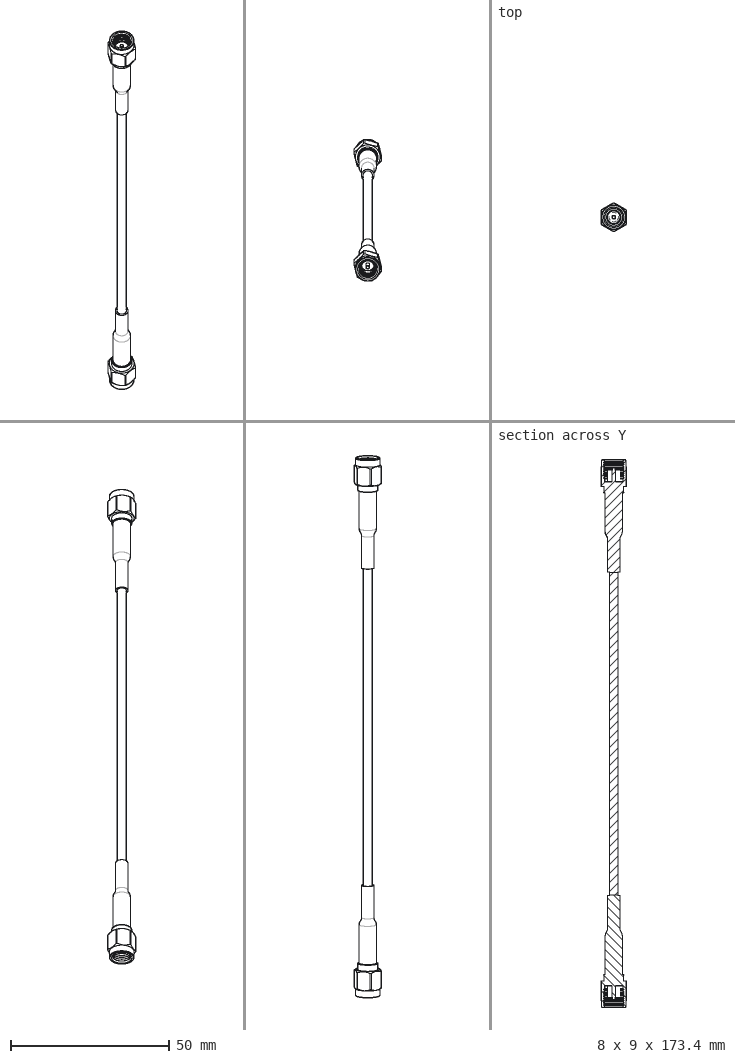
import cadquery as cq
import math

total_length = 173.4
half_length = total_length / 2

nose_diameter = 7.8
collar_diameter = 6.5
barrel_diameter = 5.5
sleeve_diameter = 4.0
cable_diameter = 3.0

hex_start = 2.3
hex_end = 8.5
collar_end = 10.5
shoulder_start = 22.9
shoulder_end = 25.1
connector_length = 35.5

hex_across_flats = 8.0
hex_across_corners = 9.0
hex_chamfer_height = 0.5
hex_chamfer_diameter = 7.8

edge_chamfer = 0.2

thread_major_diameter = 6.5
thread_minor_diameter = 5.5
thread_pitch = 0.7
thread_count = 8
thread_start = 0.5
socket_depth = 7.0
ring_outer_diameter = 4.5
ring_inner_diameter = 4.0
ring_recess = 3.3
pin_diameter = 1.2
pin_tip_diameter = 0.94
pin_recess = 2.6
pin_tip_length = 0.5


def rod(diameter, start, end):
    """Cylinder on the Z axis between two heights."""
    return cq.Workplane("XY").workplane(offset=start).circle(diameter / 2).extrude(end - start)


def make_hex_grip():
    """Hexagon with flats facing X, its corners rounded and chamfered at both ends."""
    hex_height = hex_end - hex_start
    sharp_corner_diameter = hex_across_flats / math.cos(math.pi / 6)
    hexagon = (
        cq.Workplane("XY")
        .workplane(offset=hex_start)
        .transformed(rotate=(0, 0, 30))
        .polygon(6, sharp_corner_diameter)
        .extrude(hex_height)
    )
    chamfer_width = (hex_across_corners - hex_chamfer_diameter) / 2
    turned_blank = (
        rod(hex_across_corners, hex_start, hex_end)
        .faces("<Z").chamfer(hex_chamfer_height, chamfer_width)
        .faces(">Z").chamfer(hex_chamfer_height, chamfer_width)
    )
    return hexagon.intersect(turned_blank)


def make_tail():
    """Collar, barrel with an S-curved shoulder, and the sleeve next to the cable."""
    barrel_radius = barrel_diameter / 2
    sleeve_radius = sleeve_diameter / 2
    axial = (0, 1)
    barrel_and_sleeve = (
        cq.Workplane("XZ")
        .moveTo(0, hex_end)
        .lineTo(barrel_radius, hex_end)
        .lineTo(barrel_radius, shoulder_start)
        .spline([(sleeve_radius, shoulder_end)], tangents=[axial, axial], includeCurrent=True)
        .lineTo(sleeve_radius, connector_length)
        .lineTo(0, connector_length)
        .close()
        .revolve(360, (0, 0, 0), (0, 1, 0))
    )
    collar = rod(collar_diameter, hex_end, collar_end).faces(">Z").chamfer(edge_chamfer)
    return collar.union(barrel_and_sleeve)


def make_socket_cutter():
    """Socket bore with a countersunk mouth and V-shaped thread grooves."""
    minor_radius = thread_minor_diameter / 2
    major_radius = thread_major_diameter / 2
    profile = (
        cq.Workplane("XZ")
        .moveTo(0, 0)
        .lineTo(major_radius, 0)
        .lineTo(minor_radius, thread_start)
    )
    for index in range(thread_count):
        groove_start = thread_start + index * thread_pitch
        profile = profile.lineTo(major_radius, groove_start + thread_pitch / 2)
        profile = profile.lineTo(minor_radius, groove_start + thread_pitch)
    profile = profile.lineTo(minor_radius, socket_depth).lineTo(0, socket_depth).close()
    return profile.revolve(360, (0, 0, 0), (0, 1, 0))


def make_socket_insert():
    """Contact ring and stepped centre pin standing on the socket floor."""
    ring = rod(ring_outer_diameter, ring_recess, socket_depth).cut(
        rod(ring_inner_diameter, ring_recess, socket_depth)
    )
    pin_shoulder = pin_recess + pin_tip_length
    pin_body = rod(pin_diameter, pin_shoulder, socket_depth)
    pin_tip = rod(pin_tip_diameter, pin_recess, pin_shoulder)
    return ring.union(pin_body).union(pin_tip)


def make_connector():
    """Connector with its mating end at the origin and its tail along +Z."""
    nose = rod(nose_diameter, 0, hex_end).faces("<Z").chamfer(edge_chamfer)
    shell = nose.union(make_hex_grip()).union(make_tail())
    return shell.cut(make_socket_cutter()).union(make_socket_insert())


cable_end = half_length - connector_length
cable = rod(cable_diameter, -cable_end, cable_end)

connectors = []
for turn in (0, 180):
    connector = make_connector().translate((0, 0, -half_length)).rotate((0, 0, 0), (1, 0, 0), turn)
    connectors.append(connector.val())

result = cq.Compound.makeCompound([cable.val(), *connectors])